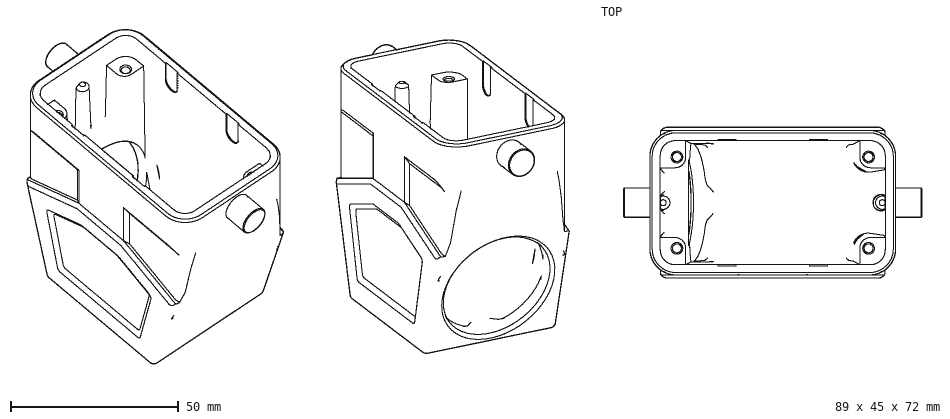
import cadquery as cq
import math

height = 72.0
pin_span = 89.0
rim_width = 73.3
rim_depth = 43.1
corner_radius = 7.7
rim_chamfer = 0.7

slant_angle = 15.0
base_half_width = 24.0
kink_z = 39.9
kink_radius = 5.3
taper_top_z = 60.9
collar_bottom_z = 26.7

skirt_depth = 45.0
shoulder_end_z = 35.4
shoulder_mid_z = 44.3
shoulder_half_width = 10.1
shoulder_chamfer_z = 1.5
skirt_fillet = 1.8

pin_diameter = 8.8
pin_z = 65.95
pin_chamfer = 0.3
pin_root = 1.3

panel_depth = 0.9
panel_slope_width = 1.8
panel_edge_radius = 2.7
panel_top_z = 59.1
panel_inner_x = 10.0

label_depth = 1.1
label_slope_width = 1.7
label_radius = 2.7
label_corners = [(18.3, 8.0), (23.6, 31.1), (8.2, 36.9)]

cavity_width = 67.1
cavity_depth = 37.0
cavity_radius = 4.45
cavity_draft = 1.3
draft_top_z = 62.6
low_floor_z = 4.5
high_floor_z = 7.1
step_low_x = 0.7
step_high_x = 3.2
floor_fillet = 0.9
plain_wall = 3.5
entry_wall = 5.25

entry_pad_x = -25.1
entry_pad_top_z = 41.8
entry_pad_fillet = 2.05
entry_pad_root_radius = 0.9

entry_diameter = 35.6
entry_chamfer = 1.1
entry_z = 19.6
entry_length = 11.1

pillar_top_z = draft_top_z
pillar_inner_x = 26.0
pillar_inner_y = 10.4
pillar_radius = 3.1
pillar_draft = 2.4
screw_x = 28.6
screw_y = 13.6
screw_diameter = 2.7
screw_mouth_diameter = 3.5
screw_depth = 13.35

rib_x = 32.7
rib_top_z = draft_top_z
rib_bottom_z = 30.3
rib_top_radius = 2.0
rib_bottom_radius = 2.9
rib_chamfer = 1.1

groove_x = 13.6
groove_width = 5.3
groove_depth = 0.4
groove_bottom_z = 61.9

pick_margin = 0.2

slant = math.tan(math.radians(slant_angle))
rim_half_width = rim_width / 2
rim_half_depth = rim_depth / 2
skirt_half_depth = skirt_depth / 2


def slant_x(z):
    """Half width of the leaning outer end walls at height z."""
    return base_half_width + slant * z


shoulder_end_x = slant_x(shoulder_end_z)
shoulder_slope = (shoulder_mid_z - shoulder_end_z) / (shoulder_end_x - shoulder_half_width)


def mirror_points(points):
    """Complete an outline that is symmetric about X = 0 from its right-hand points."""
    return points + [(-x, z) for x, z in reversed(points)]


def prism(points, depth):
    """Extrude an XZ outline symmetrically about Y = 0."""
    return cq.Workplane("XZ").polyline(points).close().extrude(depth / 2, both=True)


def sloped_recess(points, face_y, depth, slope_width):
    """Recess cutter for the face at -face_y, its sides sloping inward."""
    taper = math.degrees(math.atan(slope_width / depth))
    return (
        cq.Workplane("XZ", origin=(0, -face_y, 0))
        .polyline(points).close()
        .extrude(-depth, taper=taper)
    )


def with_mirror(solid, plane):
    """Join a solid with its mirror image."""
    return solid.union(solid.mirror(plane))


def make_panel_recesses():
    outer_x = rim_half_width + panel_slope_width
    panel = [
        (panel_inner_x, panel_top_z),
        (outer_x, panel_top_z),
        (outer_x, collar_bottom_z),
        (panel_inner_x, collar_bottom_z),
    ]
    recess = sloped_recess(panel, rim_half_depth, panel_depth, panel_slope_width)
    return with_mirror(with_mirror(recess, "YZ"), "XZ")


def make_collar():
    outline = mirror_points([
        (slant_x(collar_bottom_z), collar_bottom_z),
        (slant_x(kink_z), kink_z),
        (rim_half_width, taper_top_z),
        (rim_half_width, height),
    ])
    kink_x = slant_x(kink_z)
    kink_edges = cq.selectors.BoxSelector(
        (-kink_x - pick_margin, -pick_margin, kink_z - pick_margin),
        (kink_x + pick_margin, pick_margin, kink_z + pick_margin))
    side_shape = prism(outline, rim_depth).edges("|Y").edges(kink_edges).fillet(kink_radius)
    block = (
        cq.Workplane("XY").rect(rim_width, rim_depth).extrude(height)
        .edges("|Z").fillet(corner_radius)
        .faces(">Z").chamfer(rim_chamfer)
    )
    panel_y = rim_half_depth - panel_depth
    panel_edge_x = rim_half_width - corner_radius / 2
    panel_mid_z = (collar_bottom_z + panel_top_z) / 2
    block = block.cut(make_panel_recesses())
    for x in (-panel_edge_x, panel_edge_x):
        for y in (-panel_y, panel_y):
            panel_edge = cq.selectors.NearestToPointSelector((x, y, panel_mid_z))
            block = block.edges("|Z").edges(panel_edge).fillet(panel_edge_radius)
    return block.intersect(side_shape)


def make_shoulder_roof():
    """Block under the shoulder line, bevelled where the skirt stands proud of the collar."""
    eave_z = shoulder_mid_z - shoulder_slope * (rim_width - shoulder_half_width)
    outline = mirror_points([
        (rim_width, -rim_width),
        (rim_width, eave_z),
        (shoulder_half_width, shoulder_mid_z),
    ])
    bevel_depth = skirt_half_depth - rim_half_depth
    bevel_angle = math.degrees(math.atan(shoulder_chamfer_z / bevel_depth))
    bevel = (
        cq.Workplane("XZ", origin=(0, -rim_half_depth, 0))
        .polyline(outline).close()
        .extrude(bevel_depth, taper=bevel_angle)
    )
    return prism(outline, rim_depth).union(with_mirror(bevel, "XZ"))


def make_skirt():
    outline = mirror_points([
        (base_half_width, 0),
        (shoulder_end_x, shoulder_end_z),
        (shoulder_half_width, shoulder_mid_z),
    ])
    lower_edges = cq.selectors.BoxSelector(
        (-rim_half_width, -skirt_depth, -pick_margin),
        (rim_half_width, skirt_depth, shoulder_end_z - shoulder_chamfer_z - pick_margin))
    skirt = prism(outline, skirt_depth).intersect(make_shoulder_roof())
    return skirt.edges(lower_edges).fillet(skirt_fillet)


def make_label_recesses():
    outline = mirror_points(label_corners)
    recess = sloped_recess(outline, skirt_half_depth, label_depth, label_slope_width)
    recess = recess.faces("not |Y").edges("not #Y").fillet(label_radius)
    return with_mirror(recess, "XZ")


def make_pillars():
    size = cavity_depth / 2
    pillar = (
        cq.Workplane("XY", origin=(pillar_inner_x + size / 2, pillar_inner_y + size / 2, pillar_top_z))
        .sketch().rect(size, size).vertices().fillet(pillar_radius).finalize()
        .extrude(-pillar_top_z, taper=-pillar_draft)
    )
    return with_mirror(with_mirror(pillar, "XZ"), "YZ")


def make_ribs():
    rib = (
        cq.Workplane("XY", origin=(rib_x, 0, rib_bottom_z))
        .circle(rib_bottom_radius)
        .workplane(offset=rib_top_z - rib_bottom_z)
        .circle(rib_top_radius).loft()
        .faces(">Z").chamfer(rib_chamfer)
    )
    return with_mirror(rib, "YZ")


def make_well():
    """Rounded rectangular well with drafted walls below a vertical rim zone."""
    def mouth():
        return (
            cq.Workplane("XY", origin=(0, 0, draft_top_z)).sketch()
            .rect(cavity_width, cavity_depth).vertices().fillet(cavity_radius).finalize()
        )
    return mouth().extrude(height - draft_top_z).union(mouth().extrude(-draft_top_z, taper=cavity_draft))


def make_cavity():
    half_width = cavity_width / 2
    outline = [
        (half_width, height),
        (half_width, (half_width + plain_wall - base_half_width) / slant),
        (slant_x(high_floor_z) - plain_wall, high_floor_z),
        (step_high_x, high_floor_z),
        (step_low_x, low_floor_z),
        (entry_wall - slant_x(low_floor_z), low_floor_z),
        (entry_pad_x, (entry_wall - base_half_width - entry_pad_x) / slant),
        (entry_pad_x, entry_pad_top_z),
        (-half_width, entry_pad_top_z),
        (-half_width, height),
    ]
    pad_edge = cq.selectors.NearestToPointSelector((entry_pad_x, 0, entry_pad_top_z))
    profile = prism(outline, rim_depth).edges("|Y").edges(pad_edge).fillet(entry_pad_fillet)
    cavity = profile.intersect(make_well())
    floor_edges = cq.selectors.BoxSelector(
        (-rim_half_width, -rim_depth, 0), (rim_half_width, rim_depth, high_floor_z + pick_margin))
    cavity = cavity.edges(floor_edges).fillet(floor_fillet)
    cavity = cavity.cut(make_pillars()).cut(make_ribs())
    pad_edges = cq.selectors.BoxSelector(
        (-rim_half_width, -rim_depth, entry_pad_top_z - pick_margin),
        (entry_pad_x - entry_pad_fillet - pick_margin, rim_depth, entry_pad_top_z + pick_margin))
    return cavity.edges(pad_edges).fillet(entry_pad_root_radius)


def make_grooves():
    straight = height - groove_bottom_z - groove_width / 2
    groove = (
        cq.Workplane("XZ", origin=(groove_x, cavity_depth / 2 + groove_depth, groove_bottom_z))
        .moveTo(-groove_width / 2, groove_width / 2 + straight)
        .lineTo(-groove_width / 2, groove_width / 2)
        .threePointArc((0, 0), (groove_width / 2, groove_width / 2))
        .lineTo(groove_width / 2, groove_width / 2 + straight)
        .close().extrude(2 * groove_depth)
    )
    return with_mirror(with_mirror(groove, "YZ"), "XZ")


def make_screw_holes():
    mouth_slope = (screw_mouth_diameter - screw_diameter) / 2
    hole = (
        cq.Workplane("XZ")
        .polyline([
            (0, 0),
            (screw_mouth_diameter / 2, 0),
            (screw_diameter / 2, -mouth_slope),
            (screw_diameter / 2, -screw_depth),
            (0, -screw_depth),
        ]).close().revolve(360, (0, 0), (0, 1))
        .translate((screw_x, screw_y, pillar_top_z))
    )
    return with_mirror(with_mirror(hole, "XZ"), "YZ")


def make_cable_entry():
    """Bore square to the leaning -X wall, with a chamfered mouth."""
    angle = math.radians(slant_angle)
    mouth_plane = cq.Plane(
        origin=(-slant_x(entry_z), 0, entry_z),
        xDir=(0, 1, 0),
        normal=(math.cos(angle), 0, math.sin(angle)))
    radius = entry_diameter / 2
    bore = cq.Workplane(mouth_plane).circle(radius).extrude(entry_length)
    mouth = cq.Workplane(mouth_plane).circle(radius + entry_chamfer).extrude(entry_chamfer, taper=45)
    return bore.union(mouth)


def make_pins():
    length = (pin_span - rim_width) / 2 + pin_root
    pin = (
        cq.Workplane("YZ", origin=(pin_span / 2, 0, pin_z))
        .circle(pin_diameter / 2).extrude(-length)
        .faces(">X").chamfer(pin_chamfer)
    )
    return with_mirror(pin, "YZ")


result = (
    make_collar()
    .union(make_skirt())
    .cut(make_label_recesses())
    .cut(make_cavity())
    .cut(make_grooves())
    .cut(make_screw_holes())
    .cut(make_cable_entry())
    .union(make_pins())
)